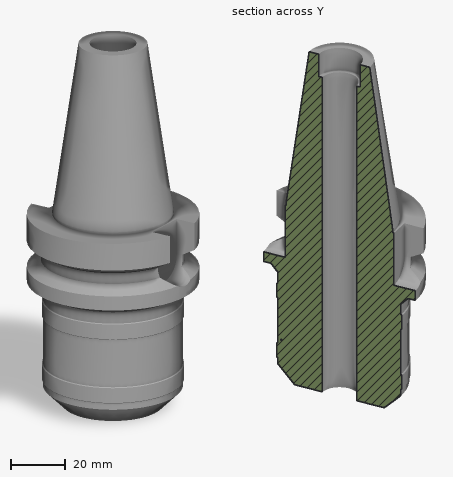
import cadquery as cq

total_height = 140.4
gauge_height = 75.0
flange_top = 74.0
upper_rim_bottom = 63.6
groove_top = 60.7
groove_bottom = 56.5
lower_rim_top = 53.5
flange_bottom = 48.0
collar_cone_bottom = 45.0
band_height = 6.3
band_bevel = 0.3
band_bottoms = (9.5, 34.4)
nose_chamfer_height = 7.0

flange_radius = 63.0 / 2
groove_radius = 26.4
collar_cone_radius = 28.4
body_radius = 25.5
band_radius = 26.0
nose_radius = 18.5
taper_large_radius = 22.2
taper_small_radius = 12.6

bore_radius = 7.0
mouth_radius = 8.5
mouth_depth = 9.3

slot_width = 16.1
slot_floor_offset = 22.6
slot_bottom = 52.2


def make_body():
    """Revolve the nose, body, V-grooved flange and taper."""
    profile = [
        (0, 0),
        (nose_radius, 0),
        (body_radius, nose_chamfer_height),
        (body_radius, collar_cone_bottom),
        (collar_cone_radius, flange_bottom),
        (flange_radius, flange_bottom),
        (flange_radius, lower_rim_top),
        (groove_radius, groove_bottom),
        (groove_radius, groove_top),
        (flange_radius, upper_rim_bottom),
        (flange_radius, flange_top),
        (taper_large_radius, flange_top),
        (taper_large_radius, gauge_height),
        (taper_small_radius, total_height),
        (0, total_height),
    ]
    return cq.Workplane("XZ").polyline(profile).close().revolve(360, (0, 0), (0, 1))


def make_band(bottom):
    """Slightly raised ring around the body, with bevelled edges."""
    ring = cq.Workplane("XY").workplane(offset=bottom).circle(band_radius).extrude(band_height)
    return ring.edges("%CIRCLE").chamfer(band_bevel)


def make_slot(side):
    """Round-bottomed drive slot, open at the flange top and rim; side is +1 or -1."""
    half_width = slot_width / 2
    arc_center = slot_bottom + half_width
    return (
        cq.Workplane("YZ", origin=(side * slot_floor_offset, 0, 0))
        .moveTo(-half_width, flange_top)
        .lineTo(-half_width, arc_center)
        .threePointArc((0, slot_bottom), (half_width, arc_center))
        .lineTo(half_width, flange_top)
        .close()
        .extrude(side * flange_radius)
    )


def make_bore():
    """Through bore and its wider mouth."""
    bore = cq.Workplane("XY").circle(bore_radius).extrude(total_height)
    mouth = (
        cq.Workplane("XY")
        .workplane(offset=total_height - mouth_depth)
        .circle(mouth_radius)
        .extrude(mouth_depth)
    )
    return bore.union(mouth)


result = make_body()
for band_bottom in band_bottoms:
    result = result.union(make_band(band_bottom))
for slot_side in (-1, 1):
    result = result.cut(make_slot(slot_side))
result = result.cut(make_bore())